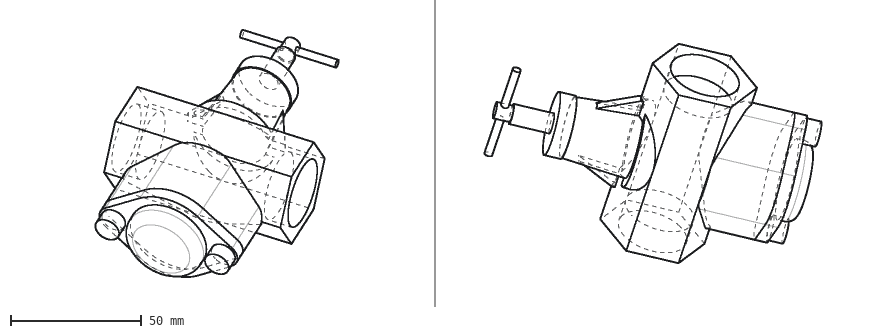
import cadquery as cq
import math


PIPE_LENGTH = 74.0
HEX_FLATS = 36.0
HEX_CORNERS = HEX_FLATS / math.cos(math.radians(30))
HEX_EDGE_Y = HEX_CORNERS / 4
PORT_DIAMETER = 27.3
PORT_DEPTH = 10.0

SHOULDER_BASE_RADIUS = HEX_FLATS / 2
SHOULDER_TOP_RADIUS = 17.5
SHOULDER_END_Y = 18.0
CONE_BASE_RADIUS = 14.0
CONE_TOP_RADIUS = 12.0
CONE_END_Y = 44.0
COLLAR_RADIUS = 12.5
COLLAR_END_Y = 50.5

RIB_THICKNESS = 4.0
RIB_FOOT_X = 20.3
RIB_FOOT_Y = HEX_CORNERS / 2
RIB_TIP_X = 12.4
RIB_TIP_Y = 36.4

SCREW_RADIUS = 4.0
SCREW_END_Y = 66.5
SCREW_TIP_RADIUS = 3.25
SCREW_TIP_END_Y = 73.0
HANDLE_LENGTH = 40.0
HANDLE_DIAMETER = 3.2
HANDLE_Y = 70.0

FLANGE_RADIUS = 20.0
LOBE_RADIUS = 6.0
BOLT_X = 23.0
COVER_JOINT_Y = -38.0
COVER_THICKNESS = 5.0
COVER_FACE_Y = COVER_JOINT_Y - COVER_THICKNESS
BOLT_HEAD_DIAMETER = 10.0
BOLT_HEAD_HEIGHT = 6.0
PLUG_DIAMETER = 32.0
PLUG_HEIGHT = 7.0
PLUG_FILLET = 4.0


def plane_at(y):
    """XZ sketch plane at the given Y; extrusion runs toward -Y."""
    return cq.Workplane("XZ", origin=(0, y, 0))


def lobed_plate(start_y, end_y):
    """Plate with a round centre and two bolt lobes joined by tangent lines."""
    tangent_sin = (FLANGE_RADIUS - LOBE_RADIUS) / BOLT_X
    tangent_cos = math.sqrt(1 - tangent_sin**2)
    centre_x = FLANGE_RADIUS * tangent_sin
    centre_z = FLANGE_RADIUS * tangent_cos
    lobe_x = BOLT_X + LOBE_RADIUS * tangent_sin
    lobe_z = LOBE_RADIUS * tangent_cos
    lobe_end_x = BOLT_X + LOBE_RADIUS
    return (
        plane_at(start_y)
        .moveTo(-centre_x, centre_z)
        .threePointArc((0, FLANGE_RADIUS), (centre_x, centre_z))
        .lineTo(lobe_x, lobe_z)
        .threePointArc((lobe_end_x, 0), (lobe_x, -lobe_z))
        .lineTo(centre_x, -centre_z)
        .threePointArc((0, -FLANGE_RADIUS), (-centre_x, -centre_z))
        .lineTo(-lobe_x, -lobe_z)
        .threePointArc((-lobe_end_x, 0), (-lobe_x, lobe_z))
        .close()
        .extrude(start_y - end_y)
    )


def hex_body():
    """Hexagonal bar along X with flats facing up and down."""
    return (
        cq.Workplane("YZ")
        .polygon(6, HEX_CORNERS)
        .extrude(PIPE_LENGTH / 2, both=True)
    )


def pipe_port(side):
    """Blind round port in the +X (side = 1) or -X (side = -1) pipe end."""
    return (
        cq.Workplane("YZ", origin=(side * PIPE_LENGTH / 2, 0, 0))
        .circle(PORT_DIAMETER / 2)
        .extrude(-side * PORT_DEPTH)
    )


def bonnet_and_screw():
    """Turned profile about Y, from inside the hexagon to the screw tip."""
    return (
        cq.Workplane("ZY")
        .moveTo(0, 0)
        .lineTo(SHOULDER_BASE_RADIUS, 0)
        .lineTo(SHOULDER_BASE_RADIUS, HEX_EDGE_Y)
        .lineTo(SHOULDER_TOP_RADIUS, SHOULDER_END_Y)
        .lineTo(CONE_BASE_RADIUS, SHOULDER_END_Y)
        .lineTo(CONE_TOP_RADIUS, CONE_END_Y)
        .lineTo(COLLAR_RADIUS, CONE_END_Y)
        .lineTo(COLLAR_RADIUS, COLLAR_END_Y)
        .lineTo(SCREW_RADIUS, COLLAR_END_Y)
        .lineTo(SCREW_RADIUS, SCREW_END_Y)
        .lineTo(SCREW_TIP_RADIUS, SCREW_END_Y)
        .lineTo(SCREW_TIP_RADIUS, SCREW_TIP_END_Y)
        .lineTo(0, SCREW_TIP_END_Y)
        .close()
        .revolve(360, (0, 0, 0), (0, 1, 0))
    )


def bonnet_ribs():
    """One sloped web that shows as a rib on each side of the bonnet."""
    return (
        cq.Workplane("XY")
        .moveTo(-RIB_FOOT_X, HEX_EDGE_Y)
        .lineTo(RIB_FOOT_X, HEX_EDGE_Y)
        .lineTo(RIB_FOOT_X, RIB_FOOT_Y)
        .lineTo(RIB_TIP_X, RIB_TIP_Y)
        .lineTo(-RIB_TIP_X, RIB_TIP_Y)
        .lineTo(-RIB_FOOT_X, RIB_FOOT_Y)
        .close()
        .extrude(RIB_THICKNESS / 2, both=True)
    )


def cross_handle():
    """Round bar along X through the screw tip."""
    return (
        cq.Workplane("YZ", origin=(0, HANDLE_Y, 0))
        .circle(HANDLE_DIAMETER / 2)
        .extrude(HANDLE_LENGTH / 2, both=True)
    )


def make_housing():
    """Pipe body, flanged block, bonnet and adjusting screw as one solid."""
    housing = (
        hex_body()
        .union(lobed_plate(-HEX_EDGE_Y, COVER_JOINT_Y))
        .union(bonnet_and_screw())
        .union(bonnet_ribs())
        .union(cross_handle())
    )
    for side in (-1, 1):
        housing = housing.cut(pipe_port(side))
    return housing


def make_cover():
    """Lobed cover plate with a rounded central plug and two bolt heads."""
    plug = (
        plane_at(COVER_FACE_Y)
        .circle(PLUG_DIAMETER / 2)
        .extrude(PLUG_HEIGHT)
        .faces("<Y")
        .edges()
        .fillet(PLUG_FILLET)
    )
    cover = lobed_plate(COVER_JOINT_Y, COVER_FACE_Y).union(plug)
    for bolt_x in (-BOLT_X, BOLT_X):
        bolt_head = (
            plane_at(COVER_FACE_Y)
            .center(bolt_x, 0)
            .circle(BOLT_HEAD_DIAMETER / 2)
            .extrude(BOLT_HEAD_HEIGHT)
        )
        cover = cover.union(bolt_head)
    return cover


housing = make_housing()
cover = make_cover()

result = cq.Compound.makeCompound([housing.solids().val(), cover.solids().val()])